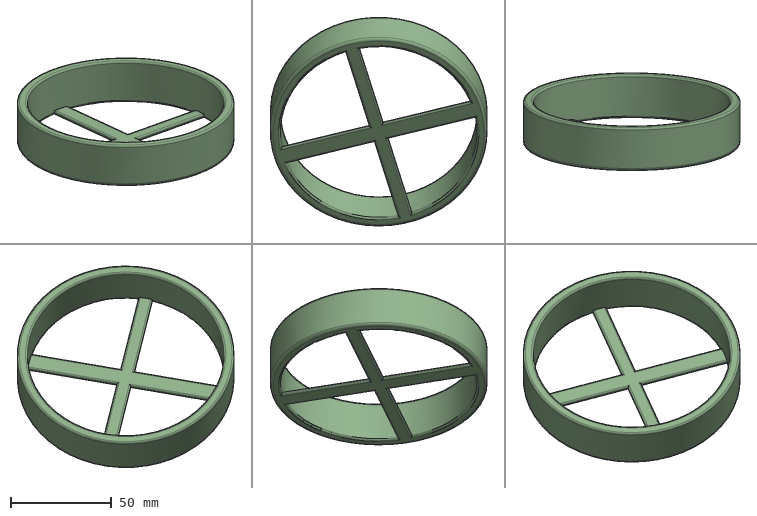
import cadquery as cq

outer_diameter = 107.5
bore_diameter = 97.5
ring_height = 22.0
edge_radius = 1.0
lower_outer_radius = 1.4

x_bar_width = 9.0
y_bar_width = 7.0
bar_thickness = 2.0
bar_edge_radius = 0.9

bar_length = (outer_diameter + bore_diameter) / 2


def make_ring():
    """Plain ring with all four circular edges rounded, most strongly at the lower outer edge."""
    ring = cq.Workplane("XY").circle(outer_diameter / 2).circle(bore_diameter / 2).extrude(ring_height)
    ring = ring.edges("%CIRCLE and <Z").edges(cq.selectors.RadiusNthSelector(-1)).fillet(lower_outer_radius)
    ring = ring.faces(">Z").edges("%CIRCLE").fillet(edge_radius)
    return ring.faces("<Z").edges(cq.selectors.RadiusNthSelector(0)).fillet(edge_radius)


def make_cross():
    """Two crossing bars, flush with the ring bottom, with all long edges rounded."""
    x_bar = cq.Workplane("XY").box(bar_length, x_bar_width, bar_thickness, centered=(True, True, False))
    y_bar = cq.Workplane("XY").box(y_bar_width, bar_length, bar_thickness, centered=(True, True, False))
    x_bar = x_bar.edges("|X").fillet(bar_edge_radius)
    y_bar = y_bar.edges("|Y").fillet(bar_edge_radius)
    return x_bar.union(y_bar)


result = make_ring().union(make_cross())